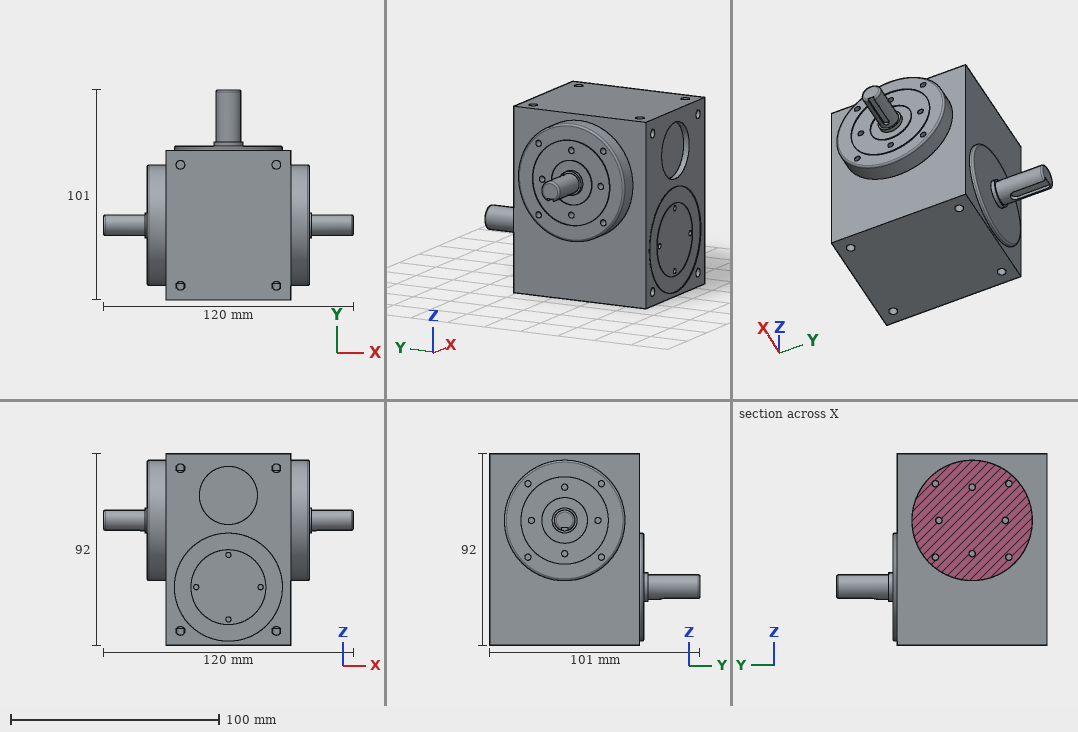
import cadquery as cq
import math

HOUSING_X = 60.0
HOUSING_Y = 72.0
HOUSING_Z = 92.0
FRONT_Y = -HOUSING_Y / 2
REAR_Y = HOUSING_Y / 2

MOUNT_DIAMETER = 4.2
MOUNT_DEPTH = 8.0
MOUNT_INSET = 7.0

CROSS_SHAFT_SPAN = 120.0
CROSS_SHAFT_DIAMETER = 10.0
CROSS_SHAFT_Z = 60.0
CROSS_COLLAR_DIAMETER = 12.0
CROSS_COLLAR_LENGTH = 1.0
CROSS_KEYWAY_WIDTH = 3.0
CROSS_KEYWAY_LENGTH = 18.0
SIDE_FLANGE_DIAMETER = 58.0
SIDE_FLANGE_LENGTH = 9.0

OUTER_RECESS_DIAMETER = 42.0
INNER_RECESS_DIAMETER = 22.0
RECESS_STEP = 0.5
FLANGE_HOLE_DIAMETER = 3.0
FLANGE_HOLE_DEPTH = 6.0
INNER_HOLE_CIRCLE_RADIUS = 16.0
OUTER_HOLE_CIRCLE_RADIUS = 25.0

REAR_SHAFT_REACH = 29.0
REAR_SHAFT_DIAMETER = 12.0
REAR_SHAFT_Z = 28.0
REAR_COLLAR_DIAMETER = 14.0
REAR_COLLAR_LENGTH = 2.0
REAR_KEYWAY_WIDTH = 5.0
REAR_KEYWAY_LENGTH = 19.5
COVER_DIAMETER = 52.0
COVER_LENGTH = 2.0

POCKET_DIAMETER = 28.0
POCKET_DEPTH = 3.0
POCKET_Z = 72.0
CAP_DIAMETER = 36.0
CAP_RECESS_DIAMETER = COVER_DIAMETER
CAP_RECESS_DEPTH = 0.5
CAP_SETBACK = 0.2
CAP_HOLE_DIAMETER = 2.5
CAP_HOLE_DEPTH = 4.0
CAP_HOLE_CIRCLE_RADIUS = 15.5

EDGE_RADIUS = 1.0

X_AXIS = cq.Vector(1, 0, 0)
Y_AXIS = cq.Vector(0, 1, 0)
Z_AXIS = cq.Vector(0, 0, 1)


def rod(start, direction, diameter, length):
    """Plain cylinder growing from start along direction."""
    return cq.Workplane(cq.Solid.makeCylinder(diameter / 2, length, start, direction))


def rounded_rod(start, direction, diameter, length):
    """Cylinder with a rounded edge around its far end."""
    plane = cq.Plane(start, normal=direction)
    cylinder = cq.Workplane(plane).circle(diameter / 2).extrude(length)
    far_end = cq.selectors.DirectionMinMaxSelector(direction)
    return cylinder.faces(far_end).edges().fillet(EDGE_RADIUS)


def keyway(tip, inward, shaft_diameter, width, length):
    """Cutter for a slot on the underside of a shaft, open at the tip and round at its inner end.

    The slot is half as deep as it is wide.
    """
    depth = width / 2
    straight = length - width / 2
    floor = tip - Z_AXIS * (shaft_diameter / 2 - depth)
    plane = cq.Plane(floor, xDir=inward, normal=-Z_AXIS)
    profile = (
        cq.Workplane(plane)
        .moveTo(0, -width / 2)
        .lineTo(straight, -width / 2)
        .threePointArc((length, 0), (straight, width / 2))
        .lineTo(0, width / 2)
        .close()
    )
    return profile.extrude(shaft_diameter)


def circle_points(radius, start_angle):
    """Four evenly spaced points on a circle."""
    angles = [math.radians(start_angle + 90 * i) for i in range(4)]
    return [(radius * math.cos(a), radius * math.sin(a)) for a in angles]


def drill_mounting_holes(body):
    hole_x = HOUSING_X / 2 - MOUNT_INSET
    hole_y = HOUSING_Y / 2 - MOUNT_INSET
    for x in (-hole_x, hole_x):
        for z in (MOUNT_INSET, HOUSING_Z - MOUNT_INSET):
            body = body.cut(rod(cq.Vector(x, FRONT_Y, z), Y_AXIS, MOUNT_DIAMETER, MOUNT_DEPTH))
        for y in (-hole_y, hole_y):
            body = body.cut(rod(cq.Vector(x, y, 0), Z_AXIS, MOUNT_DIAMETER, MOUNT_DEPTH))
            body = body.cut(rod(cq.Vector(x, y, HOUSING_Z), -Z_AXIS, MOUNT_DIAMETER, MOUNT_DEPTH))
    return body


def cut_front_face(body):
    pocket_centre = cq.Vector(0, FRONT_Y, POCKET_Z)
    cap_centre = cq.Vector(0, FRONT_Y, REAR_SHAFT_Z)
    cap_height = CAP_RECESS_DEPTH - CAP_SETBACK
    body = body.cut(rod(pocket_centre, Y_AXIS, POCKET_DIAMETER, POCKET_DEPTH))
    body = body.cut(rod(cap_centre, Y_AXIS, CAP_RECESS_DIAMETER, CAP_RECESS_DEPTH))
    body = body.union(rod(cap_centre + Y_AXIS * CAP_SETBACK, Y_AXIS, CAP_DIAMETER, cap_height))
    for x, z in circle_points(CAP_HOLE_CIRCLE_RADIUS, 0):
        hole_start = cap_centre + cq.Vector(x, 0, z)
        body = body.cut(rod(hole_start, Y_AXIS, CAP_HOLE_DIAMETER, CAP_HOLE_DEPTH))
    return body


def cross_shaft_side():
    """Side flange, collar and shaft end on the +X side."""
    base = cq.Vector(HOUSING_X / 2, 0, CROSS_SHAFT_Z)
    face = base + X_AXIS * SIDE_FLANGE_LENGTH
    tip = cq.Vector(CROSS_SHAFT_SPAN / 2, 0, CROSS_SHAFT_Z)
    shaft_length = (CROSS_SHAFT_SPAN - HOUSING_X) / 2

    side = rounded_rod(base, X_AXIS, SIDE_FLANGE_DIAMETER, SIDE_FLANGE_LENGTH)
    side = side.cut(rod(face, -X_AXIS, OUTER_RECESS_DIAMETER, RECESS_STEP))
    side = side.cut(rod(face, -X_AXIS, INNER_RECESS_DIAMETER, 2 * RECESS_STEP))
    hole_points = circle_points(INNER_HOLE_CIRCLE_RADIUS, 0) + circle_points(OUTER_HOLE_CIRCLE_RADIUS, 45)
    for y, z in hole_points:
        side = side.cut(rod(face + cq.Vector(0, y, z), -X_AXIS, FLANGE_HOLE_DIAMETER, FLANGE_HOLE_DEPTH))

    side = side.union(rod(base, X_AXIS, CROSS_COLLAR_DIAMETER, SIDE_FLANGE_LENGTH + CROSS_COLLAR_LENGTH))
    side = side.union(rounded_rod(base, X_AXIS, CROSS_SHAFT_DIAMETER, shaft_length))
    return side.cut(keyway(tip, -X_AXIS, CROSS_SHAFT_DIAMETER, CROSS_KEYWAY_WIDTH, CROSS_KEYWAY_LENGTH))


def rear_shaft():
    """Cover disc, collar and shaft end on the rear face."""
    base = cq.Vector(0, REAR_Y, REAR_SHAFT_Z)
    tip = base + Y_AXIS * REAR_SHAFT_REACH
    shaft = rounded_rod(base, Y_AXIS, COVER_DIAMETER, COVER_LENGTH)
    shaft = shaft.union(rod(base, Y_AXIS, REAR_COLLAR_DIAMETER, COVER_LENGTH + REAR_COLLAR_LENGTH))
    shaft = shaft.union(rounded_rod(base, Y_AXIS, REAR_SHAFT_DIAMETER, REAR_SHAFT_REACH))
    return shaft.cut(keyway(tip, -Y_AXIS, REAR_SHAFT_DIAMETER, REAR_KEYWAY_WIDTH, REAR_KEYWAY_LENGTH))


housing = cq.Workplane("XY").box(HOUSING_X, HOUSING_Y, HOUSING_Z, centered=(True, True, False))
housing = cut_front_face(drill_mounting_holes(housing))

side_assembly = cross_shaft_side()
result = housing.union(side_assembly).union(side_assembly.mirror("YZ")).union(rear_shaft())